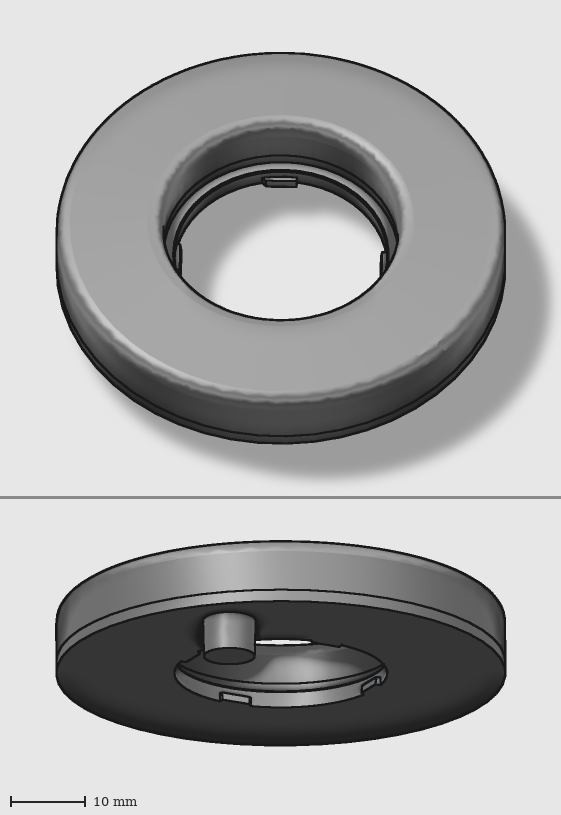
import cadquery as cq

outer_d = 60.0
bore_d = 31.4
peak_z = 9.85

seam_z = 1.6
crown_r = 17.7
crown_rim_z = 8.9
rim_fillet = 2.0

collar_d = 34.2
collar_z = 3.85
floor_z = 2.35
base_bore_d = 28.45
bore_chamfer = 0.2

pin_x = -23.05
pin_length = 5.05
pin_top_d = 7.0
pin_tip_d = 6.8

tab_height = 1.1
tab_top_r = 13.5
tab_tip_r = 13.3
tab_root_r = 15.0
tab_angle = 45
tab_square_end = 1.8
tab_cut_y = 7.85
tab_blank_length = 6.0

outer_r = outer_d / 2
bore_r = bore_d / 2
collar_r = collar_d / 2
base_bore_r = base_bore_d / 2


def revolve_profile(points):
    """Revolve a closed (radius, height) outline about Z."""
    return cq.Workplane("XZ").polyline(points).close().revolve(360, (0, 0), (0, 1))


def make_cover():
    """Crowned ring with rounded rims and a recess for the base collar."""
    crown_slope = (peak_z - crown_rim_z) / (outer_r - crown_r)
    inner_top_z = peak_z + crown_slope * (crown_r - bore_r)
    cover = revolve_profile([
        (bore_r, collar_z),
        (collar_r, collar_z),
        (collar_r, seam_z),
        (outer_r, seam_z),
        (outer_r, crown_rim_z),
        (bore_r, inner_top_z),
    ])
    rims = cover.faces(">Z").edges("%CIRCLE")
    return rims.fillet(rim_fillet)


def make_tab():
    """Tab in the +X +Y quadrant: inner face leaning inward, one end square, one end cut along X."""
    blank = (
        cq.Workplane("XZ", origin=(0, tab_square_end, 0))
        .polyline([
            (tab_tip_r, 0),
            (tab_root_r, 0),
            (tab_root_r, tab_height),
            (tab_top_r, tab_height),
        ])
        .close()
        .extrude(tab_blank_length)
        .rotate((0, 0, 0), (0, 0, 1), tab_angle)
    )
    kept_zone = cq.Workplane().box(outer_r, outer_r, tab_height, centered=False).translate((0, tab_cut_y, 0))
    return blank.intersect(kept_zone)


def make_base():
    """Flanged ring with a recessed collar, one foot pin and four tabs."""
    base = revolve_profile([
        (base_bore_r, 0),
        (outer_r, 0),
        (outer_r, seam_z),
        (collar_r, seam_z),
        (collar_r, collar_z),
        (bore_r, collar_z),
        (bore_r, floor_z),
        (base_bore_r + bore_chamfer, floor_z),
        (base_bore_r, floor_z - bore_chamfer),
    ])
    pin = (
        cq.Workplane("XY", origin=(pin_x, 0, 0))
        .circle(pin_top_d / 2)
        .workplane(offset=-pin_length)
        .circle(pin_tip_d / 2)
        .loft()
    )
    base = base.union(pin)
    right_rear_tab = make_tab()
    left_rear_tab = right_rear_tab.mirror("YZ")
    for tab in (right_rear_tab, left_rear_tab):
        base = base.union(tab).union(tab.mirror("XZ"))
    return base


cover = make_cover()
base = make_base()

result = cq.Compound.makeCompound([cover.solids().val(), base.solids().val()])